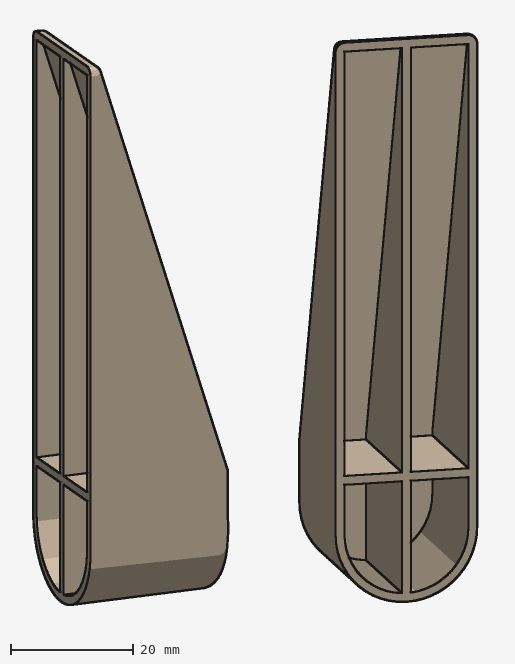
import cadquery as cq
import math

width = 24.0
height = 95.0
depth = 25.0
top_depth = 2.0
kink_height = 22.7
wall = 1.5
edge_radius = 1.5

rib_thickness = 1.5
cross_rib_bottom = 20.4

boss_diameter = 14.0
boss_length = 1.7
boss_height = 11.5

end_radius = width / 2


def side_wedge(inset):
    """Side profile across the full width, with the back and top moved in by inset."""
    slope_angle = math.atan2(depth - top_depth, height - kink_height)
    back = depth - inset
    top = height - inset
    kink = kink_height - inset * math.tan(slope_angle / 2)
    back_at_top = back - (top - kink) * math.tan(slope_angle)
    return (
        cq.Workplane("YZ")
        .polyline([(0, 0), (back, 0), (back, kink), (back_at_top, top), (0, top)])
        .close()
        .extrude(end_radius, both=True)
    )


def round_ended_prism(inset):
    """Upright slab with a half-round lower end, moved in by inset all round."""
    half_width = end_radius - inset
    return (
        cq.Workplane("XZ")
        .moveTo(-half_width, height - inset)
        .lineTo(-half_width, end_radius)
        .threePointArc((0, inset), (half_width, end_radius))
        .lineTo(half_width, height - inset)
        .close()
        .extrude(-depth)
    )


def body_form(inset):
    """Sharp-edged body, or with an inset its hollow, still open at the front face."""
    return round_ended_prism(inset).intersect(side_wedge(inset))


def rounded_body():
    """Outer form with its back rim, sloped rim, top edge and upper corners rounded."""
    body = body_form(0)
    front_rim = body.faces("<Y").edges()
    side_seams = body.edges("|Y").edges("<Z")
    kink_edge = body.edges("|X").edges(">Y")
    rounded_edges = body.edges().vals()
    for kept in (front_rim, side_seams, kink_edge):
        rounded_edges = [
            edge for edge in rounded_edges
            if not any(edge.isSame(kept_edge) for kept_edge in kept.vals())
        ]
    return body.newObject(rounded_edges).fillet(edge_radius)


def make_ribs():
    """One upright rib on the centre plane and one level rib, both reaching the front face."""
    upright = cq.Workplane("XY").box(rib_thickness, depth, height, centered=(True, False, False))
    level = (
        cq.Workplane("XY", origin=(0, 0, cross_rib_bottom))
        .box(width, depth, rib_thickness, centered=(True, False, False))
    )
    return upright.union(level)


def make_boss():
    """Round boss rooted in the back wall."""
    return (
        cq.Workplane("XZ", origin=(0, depth - wall, boss_height))
        .circle(boss_diameter / 2)
        .extrude(-(wall + boss_length))
    )


cavity = body_form(wall).cut(make_ribs())
result = rounded_body().cut(cavity).union(make_boss())